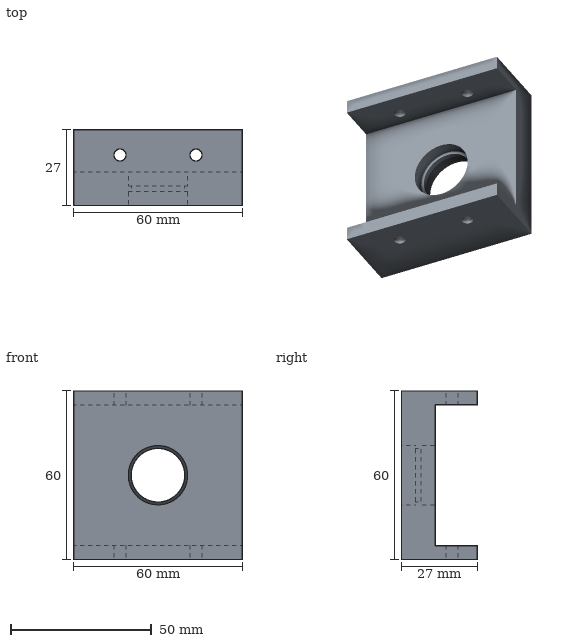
import cadquery as cq

width = 60.0
depth = 27.0
height = 60.0

wall_thickness = 12.0
flange_thickness = 5.0

seat_diameter = 21.1
seat_depth = 5.0
lip_diameter = 19.0

hole_diameter = 4.2
hole_spacing = 27.0
hole_setback = 9.0


def make_channel():
    """U-shaped body, centred on X and Z, with its front face on Y = 0."""
    block = cq.Workplane("XY").box(width, depth, height, centered=(True, False, True))
    pocket = (
        cq.Workplane("XY")
        .box(width, depth - wall_thickness, height - 2 * flange_thickness, centered=(True, False, True))
        .translate((0, wall_thickness, 0))
    )
    return block.cut(pocket)


def bore_cylinder(diameter, start, length):
    """Cylinder along +Y on the bore axis, beginning at Y = start."""
    return cq.Workplane("XZ", origin=(0, start, 0)).circle(diameter / 2).extrude(-length)


def cut_stepped_bore(body):
    """Cut the lip opening and the seat on each face of the wall."""
    body = body.cut(bore_cylinder(lip_diameter, 0, wall_thickness))
    for seat_start in (0, wall_thickness - seat_depth):
        body = body.cut(bore_cylinder(seat_diameter, seat_start, seat_depth))
    return body


def cut_mounting_holes(body):
    """Cut the pair of vertical holes through both flanges."""
    holes = (
        cq.Workplane("XY", origin=(0, depth - hole_setback, -height / 2))
        .pushPoints([(-hole_spacing / 2, 0), (hole_spacing / 2, 0)])
        .circle(hole_diameter / 2)
        .extrude(height)
    )
    return body.cut(holes)


result = cut_mounting_holes(cut_stepped_bore(make_channel()))